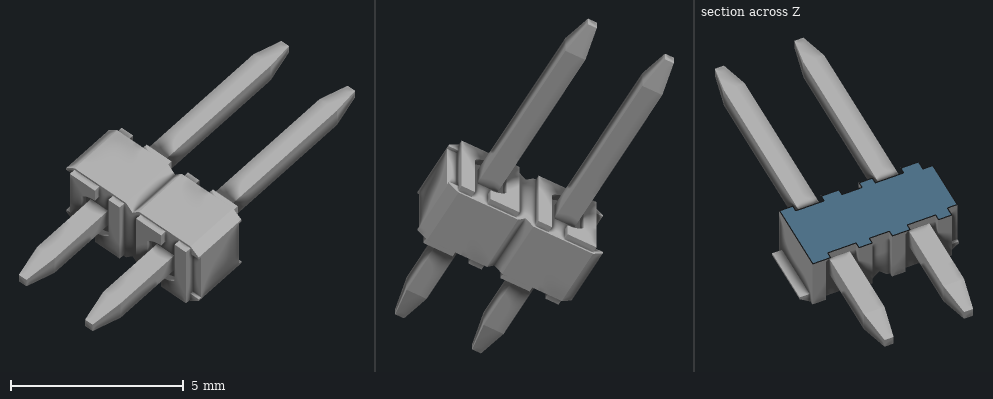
import cadquery as cq
import math

PIN_COUNT = 2
PITCH = 2.54

PIN_LENGTH = 11.56
PIN_WIDTH = 0.66
TIP_WIDTH = 0.29
TIP_LENGTH = 1.02

BODY_HEIGHT = 2.49
BODY_FRONT = -2.40
BODY_BACK = -0.52
END_CHAMFER_WIDTH = 0.32
END_CHAMFER_HEIGHT = 0.25
NOTCH_DEPTH = 0.25
LIP_EDGE = 0.08
END_PANEL_SETBACK = 0.10

PAD_THICKNESS = 0.20
PAD_HALF_WIDTH = 0.955
PAD_HEIGHT = 2.34
PAD_NARROW_EDGE = 0.52
PAD_CLEARANCE_RADIUS = 0.71

body_depth = BODY_BACK - BODY_FRONT
body_length = PIN_COUNT * PITCH
half_length = body_length / 2
half_height = BODY_HEIGHT / 2
shoulder_z = half_height - END_CHAMFER_HEIGHT
lip_z = shoulder_z - LIP_EDGE
pin_positions = [(i - (PIN_COUNT - 1) / 2) * PITCH for i in range(PIN_COUNT)]


def box(x_min, x_max, y_min, y_max, z_min, z_max):
    """Axis-aligned box between the given limits."""
    size = (x_max - x_min, y_max - y_min, z_max - z_min)
    return cq.Workplane("XY").box(*size, centered=False).translate((x_min, y_min, z_min))


def extrude_along_y(profile, y_start, depth):
    """Extrude an XZ profile from y_start toward +Y."""
    return profile.extrude(-depth).translate((0, y_start, 0))


def make_body():
    """Block with chamfered ends, break notches between pins, an end recess and an end panel."""
    top_edge = [(-half_length, shoulder_z), (-half_length + END_CHAMFER_WIDTH, half_height)]
    for i in range(1, PIN_COUNT):
        notch_x = -half_length + i * PITCH
        top_edge += [
            (notch_x - NOTCH_DEPTH, half_height),
            (notch_x, half_height - NOTCH_DEPTH),
            (notch_x + NOTCH_DEPTH, half_height),
        ]
    top_edge += [(half_length - END_CHAMFER_WIDTH, half_height), (half_length, shoulder_z)]
    bottom_edge = [(x, -z) for x, z in reversed(top_edge)]
    profile = cq.Workplane("XZ").polyline(top_edge + bottom_edge).close()
    body = extrude_along_y(profile, BODY_FRONT, body_depth)

    recess_wall = pin_positions[0] - PAD_HALF_WIDTH
    body = body.cut(box(-half_length, recess_wall, BODY_FRONT, BODY_BACK, -lip_z, lip_z))

    panel_start = pin_positions[-1] + PAD_HALF_WIDTH
    for y_min in (BODY_FRONT, BODY_BACK - END_PANEL_SETBACK):
        y_max = y_min + END_PANEL_SETBACK
        body = body.cut(box(panel_start, half_length, y_min, y_max, -lip_z, lip_z))
    return body


def make_pad_pair(pin_x):
    """Two interlocking front pads curving around one pin, half a turn apart."""
    half_pad = PAD_HEIGHT / 2
    arc_end_z = math.sqrt(PAD_CLEARANCE_RADIUS**2 - PAD_NARROW_EDGE**2)
    mid_angle = (math.pi / 2 + math.atan2(arc_end_z, -PAD_NARROW_EDGE)) / 2
    arc_mid = (
        PAD_CLEARANCE_RADIUS * math.cos(mid_angle),
        PAD_CLEARANCE_RADIUS * math.sin(mid_angle),
    )
    profile = (
        cq.Workplane("XZ")
        .moveTo(-PAD_HALF_WIDTH, -half_pad)
        .lineTo(-PAD_HALF_WIDTH, half_pad)
        .lineTo(0, half_pad)
        .lineTo(0, PAD_CLEARANCE_RADIUS)
        .threePointArc(arc_mid, (-PAD_NARROW_EDGE, arc_end_z))
        .lineTo(-PAD_NARROW_EDGE, -half_pad)
        .close()
    )
    pad = extrude_along_y(profile, BODY_FRONT - PAD_THICKNESS, PAD_THICKNESS)
    opposite_pad = pad.rotate((0, 0, 0), (0, 1, 0), 180)
    return pad.add(opposite_pad).combine().translate((pin_x, 0, 0))


def make_pin(pin_x):
    """Square pin with a tapered tip at each end."""
    shank_end = PIN_LENGTH / 2 - TIP_LENGTH
    shank = cq.Workplane("XZ").rect(PIN_WIDTH, PIN_WIDTH).extrude(shank_end, both=True)
    tip = (
        cq.Workplane("XZ", origin=(0, -shank_end, 0))
        .rect(PIN_WIDTH, PIN_WIDTH)
        .workplane(offset=TIP_LENGTH)
        .rect(TIP_WIDTH, TIP_WIDTH)
        .loft(ruled=True)
    )
    return shank.union(tip).union(tip.mirror("XZ")).translate((pin_x, 0, 0))


result = make_body()
body_middle_y = (BODY_FRONT + BODY_BACK) / 2
for x in pin_positions:
    front_pads = make_pad_pair(x)
    back_pads = front_pads.rotate((x, body_middle_y, 0), (x, body_middle_y, 1), 180)
    result = result.union(front_pads).union(back_pads).union(make_pin(x))